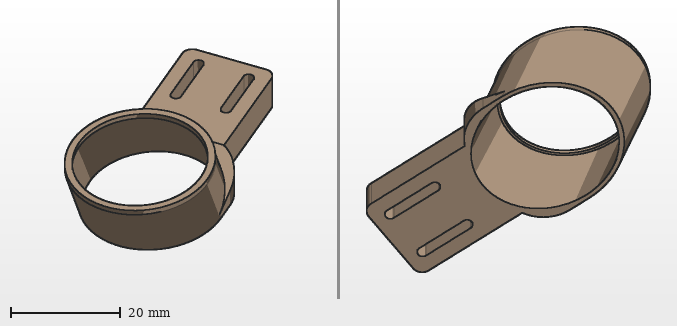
import cadquery as cq
import math

TILT_DEG = 25.0
TUBE_DIAMETER = 27.0
BORE_DIAMETER = 25.25
TUBE_HEIGHT = 12.63

LIP_HEIGHT = 1.0
LIP_OVERHANG = 0.5

OVERALL_LENGTH = 55.48
PLATE_WIDTH = 17.8
PLATE_THICKNESS = 7.0
PLATE_CORNER_RADIUS = 2.0

SLOT_WIDTH = 2.0
SLOT_LENGTH = 12.0
SLOT_SPACING = 10.0
SLOT_EDGE_MARGIN = 2.5

SHOULDER_START_Y = 4.2

TILT = math.radians(TILT_DEG)
TUBE_RADIUS = TUBE_DIAMETER / 2
BORE_RADIUS = BORE_DIAMETER / 2
TUBE_HALF_LENGTH = TUBE_RADIUS / math.cos(TILT)
BORE_HALF_LENGTH = BORE_RADIUS / math.cos(TILT)
LIP_CENTER_Y = -TUBE_HEIGHT * math.tan(TILT)
FRONT_Y = LIP_CENTER_Y - TUBE_HALF_LENGTH
PLATE_BACK_Y = FRONT_Y + OVERALL_LENGTH
COLLAR_BACK_Y = TUBE_HALF_LENGTH - PLATE_THICKNESS * math.tan(TILT)


def leaning_cylinder(radius):
    """Cylinder around the sleeve axis, long enough to pass both level ends."""
    length = 4 * TUBE_DIAMETER
    upright = cq.Workplane("XY").circle(radius).extrude(length / 2, both=True)
    return upright.rotate((0, 0, 0), (1, 0, 0), TILT_DEG)


def level_slab(height):
    """Slab from the underside up to a height, larger than the part in plan."""
    size = 2 * OVERALL_LENGTH
    return cq.Workplane("XY").rect(size, size).extrude(height)


def make_sleeve():
    return leaning_cylinder(TUBE_RADIUS).intersect(level_slab(TUBE_HEIGHT))


def make_lip():
    seat = cq.Workplane("XY", origin=(0, LIP_CENTER_Y, TUBE_HEIGHT))
    outer = seat.ellipse(TUBE_HALF_LENGTH, TUBE_RADIUS, rotation_angle=90).extrude(LIP_HEIGHT)
    opening = seat.ellipse(
        BORE_HALF_LENGTH - LIP_OVERHANG, BORE_RADIUS - LIP_OVERHANG, rotation_angle=90
    ).extrude(LIP_HEIGHT)
    return outer.cut(opening)


def make_plate():
    length = PLATE_BACK_Y - COLLAR_BACK_Y
    plate = (
        cq.Workplane("XY")
        .center(0, PLATE_BACK_Y - length / 2)
        .rect(PLATE_WIDTH, length)
        .extrude(PLATE_THICKNESS)
        .edges("|Z and >Y")
        .fillet(PLATE_CORNER_RADIUS)
    )
    slot_center_y = PLATE_BACK_Y - SLOT_EDGE_MARGIN - SLOT_LENGTH / 2
    slots = (
        cq.Workplane("XY")
        .pushPoints([(side * SLOT_SPACING / 2, slot_center_y) for side in (-1, 1)])
        .slot2D(SLOT_LENGTH, SLOT_WIDTH, angle=90)
        .extrude(PLATE_THICKNESS)
    )
    return plate.cut(slots)


def make_collar():
    """Shouldered block whose top slopes square to the sleeve axis, down to the sleeve's widest line."""
    half_plate = PLATE_WIDTH / 2
    rise = COLLAR_BACK_Y - SHOULDER_START_Y
    inset = TUBE_RADIUS - half_plate
    radius = (rise**2 + inset**2) / (2 * inset)
    half_angle = math.asin(rise / radius) / 2
    arc_mid_x = TUBE_RADIUS - radius * (1 - math.cos(half_angle))
    arc_mid_y = SHOULDER_START_Y + radius * math.sin(half_angle)
    front_y = -TUBE_RADIUS
    block = (
        cq.Workplane("XY")
        .moveTo(-TUBE_RADIUS, front_y)
        .lineTo(TUBE_RADIUS, front_y)
        .lineTo(TUBE_RADIUS, SHOULDER_START_Y)
        .threePointArc((arc_mid_x, arc_mid_y), (half_plate, COLLAR_BACK_Y))
        .lineTo(-half_plate, COLLAR_BACK_Y)
        .threePointArc((-arc_mid_x, arc_mid_y), (-TUBE_RADIUS, SHOULDER_START_Y))
        .close()
        .extrude(PLATE_THICKNESS)
    )
    corner_distance = PLATE_THICKNESS * math.cos(TILT) - COLLAR_BACK_Y * math.sin(TILT)
    corner_y = -corner_distance * math.sin(TILT)
    corner_z = corner_distance * math.cos(TILT)
    profile = (
        cq.Workplane("YZ")
        .polyline([(0, 0), (COLLAR_BACK_Y, 0), (COLLAR_BACK_Y, PLATE_THICKNESS), (corner_y, corner_z)])
        .close()
        .extrude(TUBE_RADIUS, both=True)
    )
    return block.intersect(profile)


bore = leaning_cylinder(BORE_RADIUS).intersect(level_slab(TUBE_HEIGHT))
body = make_sleeve().union(make_plate()).union(make_collar()).cut(bore)
result = body.union(make_lip())